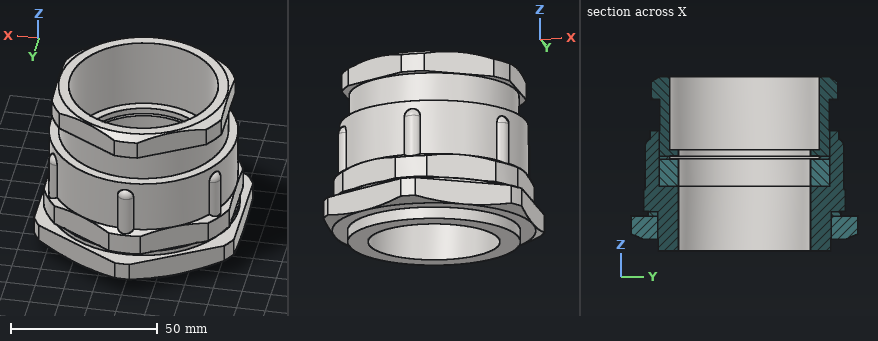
import cadquery as cq
import math


BORE_R = 22.5
HEX_SIDES = 6
HEX_HALF_ANGLE = 180 / HEX_SIDES
CORNER_ANGLES = [HEX_HALF_ANGLE * (2 * corner + 1) for corner in range(HEX_SIDES)]
HEX_CHAMFER_ANGLE = 30

LOCKNUT_Z = 4.0
LOCKNUT_HEIGHT = 8.0
GASKET_Z = LOCKNUT_Z + LOCKNUT_HEIGHT
GASKET_HEIGHT = 1.6
BODY_HEX_Z = GASKET_Z + GASKET_HEIGHT
BODY_HEX_HEIGHT = 8.6
COLLAR_Z = BODY_HEX_Z + BODY_HEX_HEIGHT
COLLAR_TOP_Z = 41.1
TOTAL_HEIGHT = 59.6
CAP_HEX_HEIGHT = 7.9
CAP_HEX_Z = TOTAL_HEIGHT - CAP_HEX_HEIGHT

LOCKNUT_FLATS = 69.5
LOCKNUT_CORNER_R = 38.74
LOCKNUT_CHAMFER_R = LOCKNUT_FLATS / 2
LOCKNUT_CHAMFER_ANGLE = 23.5

GASKET_R = 33.0

SPIGOT_R = 29.5
COLLAR_R = 32.25
BODY_HEX_FLATS = 2 * COLLAR_R
BODY_HEX_CORNER_R = 34.5
SOCKET_R = 29.0
SOCKET_FLOOR_Z = COLLAR_Z
RIB_R = 3.0
RIB_CENTRE_R = 31.0
RIB_BOTTOM_Z = BODY_HEX_Z + BODY_HEX_HEIGHT / 2
RIB_DOME_Z = 35.6

SEAL_TOP_Z = 31.5
SLIP_RING_HEIGHT = 0.9
SLIP_RING_BORE_R = 25.5
CAP_BOTTOM_Z = SEAL_TOP_Z + SLIP_RING_HEIGHT
CAP_FLANGE_HEIGHT = 2.2
CAP_BORE_R = 25.5
CAP_HEX_FLATS = 59.0
CAP_HEX_CORNER_R = 32.0
CAP_CHAMFER_R = 29.0


def cylinder(radius, z_bottom, z_top):
    return cq.Workplane("XY").workplane(offset=z_bottom).circle(radius).extrude(z_top - z_bottom)


def tube(outer_r, inner_r, z_bottom, z_top):
    return cylinder(outer_r, z_bottom, z_top).cut(cylinder(inner_r, z_bottom, z_top))


def rounded_hexagon(across_flats, corner_r, chamfer_r, chamfer_angle, z_bottom, height, chamfer_top):
    """Hexagon with corners turned to corner_r and one end chamfered from chamfer_r outwards."""
    hexagon = (
        cq.Workplane("XY")
        .workplane(offset=z_bottom)
        .polygon(HEX_SIDES, across_flats / math.cos(math.radians(HEX_HALF_ANGLE)))
        .extrude(height)
        .rotate((0, 0, 0), (0, 0, 1), HEX_HALF_ANGLE)
    )
    drop = (corner_r - chamfer_r) * math.tan(math.radians(chamfer_angle))
    z_plain, z_chamfered = z_bottom, z_bottom + height
    z_shoulder = z_chamfered - drop
    if not chamfer_top:
        z_plain, z_chamfered = z_chamfered, z_plain
        z_shoulder = z_chamfered + drop
    turned_blank = (
        cq.Workplane("XZ")
        .moveTo(0, z_plain)
        .lineTo(corner_r, z_plain)
        .lineTo(corner_r, z_shoulder)
        .lineTo(chamfer_r, z_chamfered)
        .lineTo(0, z_chamfered)
        .close()
        .revolve(360, (0, 0, 0), (0, 1, 0))
    )
    return hexagon.intersect(turned_blank)


def make_locknut():
    nut = rounded_hexagon(
        LOCKNUT_FLATS, LOCKNUT_CORNER_R, LOCKNUT_CHAMFER_R, LOCKNUT_CHAMFER_ANGLE,
        LOCKNUT_Z, LOCKNUT_HEIGHT, chamfer_top=False,
    )
    return nut.cut(cylinder(SPIGOT_R, LOCKNUT_Z, GASKET_Z))


def make_gasket():
    return tube(GASKET_R, SPIGOT_R, GASKET_Z, BODY_HEX_Z)


def make_rib(angle):
    """Upright round rib with a domed top, half sunk into the collar."""
    rib = cylinder(RIB_R, RIB_BOTTOM_Z, RIB_DOME_Z)
    dome = cq.Workplane("XY").sphere(RIB_R).translate((0, 0, RIB_DOME_Z))
    return rib.union(dome).translate((RIB_CENTRE_R, 0, 0)).rotate((0, 0, 0), (0, 0, 1), angle)


def make_body():
    body = rounded_hexagon(
        BODY_HEX_FLATS, BODY_HEX_CORNER_R, COLLAR_R, HEX_CHAMFER_ANGLE,
        BODY_HEX_Z, BODY_HEX_HEIGHT, chamfer_top=True,
    )
    body = body.union(cylinder(SPIGOT_R, 0, BODY_HEX_Z))
    body = body.union(cylinder(COLLAR_R, COLLAR_Z, COLLAR_TOP_Z))
    for angle in CORNER_ANGLES:
        body = body.union(make_rib(angle))
    body = body.cut(cylinder(BORE_R, 0, COLLAR_TOP_Z))
    return body.cut(cylinder(SOCKET_R, SOCKET_FLOOR_Z, COLLAR_TOP_Z))


def make_seal():
    return tube(SOCKET_R, BORE_R, SOCKET_FLOOR_Z, SEAL_TOP_Z)


def make_slip_ring():
    return tube(SOCKET_R, SLIP_RING_BORE_R, SEAL_TOP_Z, CAP_BOTTOM_Z)


def make_cap():
    cap = rounded_hexagon(
        CAP_HEX_FLATS, CAP_HEX_CORNER_R, CAP_CHAMFER_R, HEX_CHAMFER_ANGLE,
        CAP_HEX_Z, CAP_HEX_HEIGHT, chamfer_top=True,
    )
    cap = cap.union(cylinder(SOCKET_R, CAP_BOTTOM_Z, CAP_HEX_Z))
    cap = cap.cut(cylinder(BORE_R, CAP_BOTTOM_Z, TOTAL_HEIGHT))
    return cap.cut(cylinder(CAP_BORE_R, CAP_BOTTOM_Z + CAP_FLANGE_HEIGHT, TOTAL_HEIGHT))


locknut = make_locknut().solids()
gasket = make_gasket().solids()
body = make_body().solids()
seal = make_seal().solids()
slip_ring = make_slip_ring().solids()
cap = make_cap().solids()

result = cq.Compound.makeCompound(
    [locknut.val(), gasket.val(), body.val(), seal.val(), slip_ring.val(), cap.val()]
)